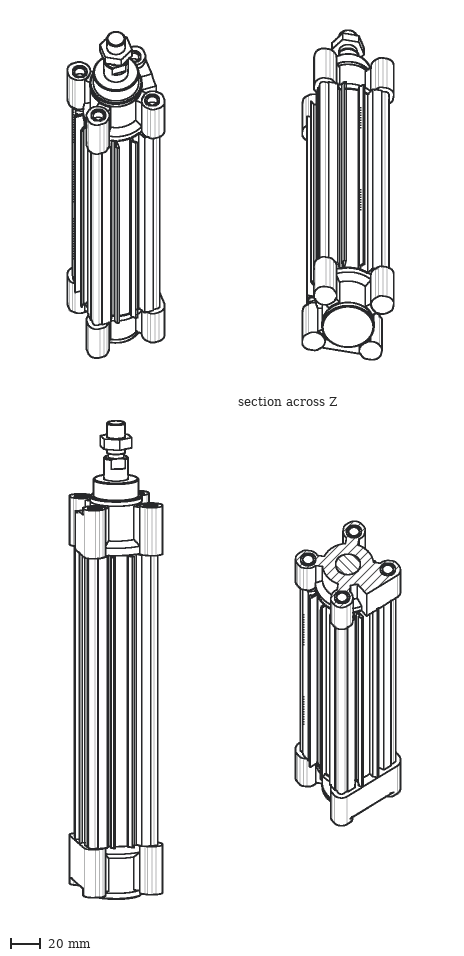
import cadquery as cq
import math

TOTAL_LENGTH = 323.0
CAP_WIDTH = 54.0

REAR_COLLAR_HEIGHT = 4.2
CAP_LENGTH = 33.0
FRONT_CAP_TOP = 269.5
FRONT_COLLAR_HEIGHT = 3.5
BOSS_HEIGHT = 11.5

COLLAR_DIAMETER = 35.0
COLLAR_CHAMFER = 0.5
NECK_DIAMETER = 34.5
BOSS_DIAMETER = 30.5
BOSS_CHAMFER = 0.5
FLANGE_RADIUS = 22.0
FLANGE_HEIGHT = 5.2
CONE_HEIGHT = 4.0
SCREW_OFFSET = 19.0
POST_HALF_WIDTH = 7.5
POST_INNER_REACH = 6.8
POST_SHOULDER_RADIUS = 4.0
CORNER_RADIUS = 6.0
WEB_WIDTH = 8.7
WEB_DROP = 1.3

WALL_HEIGHT = 28.5
WALL_INNER_FACE = 13.0
FRONT_WALL_END = 4.5
TROUGH_START = -4.5
TROUGH_AXIS = 1.5
TROUGH_RADIUS = 9.0

TUBE_RADIUS = 21.3
LOBE_OUTER = 24.2
LOBE_INNER = 12.0
LOBE_STEP_START = 18.0
LOBE_STEP_END = 20.5
LOBE_STEP_DEPTH = 0.5
LOBE_CORNER_MIDDLE = 23.0
LIP_ROOT = 20.0
LIP_BEND = 24.2
LIP_TIP = 26.5
LIP_THICKNESS = 1.3
BARBED_LIP_X = -6.8
BARB_REACH = 1.3
SLANTED_LIP_X = 2.5
LIP_SLANT = 2.3

SCREW_RADIUS = 5.0
SCREW_LENGTH = 19.5
SCREW_RECESS = 1.0
SOCKET_RADIUS = 3.5
SOCKET_DEPTH = 6.5

ROD_DIAMETER = 16.0
ROD_CHAMFER = 0.5
THREAD_DIAMETER = 12.3
THREAD_CHAMFER = 0.5
THREAD_LENGTH = 20.7
UNDERCUT_DIAMETER = 10.5
UNDERCUT_LENGTH = 3.0
ROD_TOP = TOTAL_LENGTH - THREAD_LENGTH - UNDERCUT_LENGTH
FLATS_WIDTH = 13.0
FLATS_HEIGHT = 6.8
NUT_ACROSS_FLATS = 19.0
NUT_HEIGHT = 7.0
NUT_TOP = 313.3

HALF_WIDTH = CAP_WIDTH / 2
FRONT_CAP_BOTTOM = FRONT_CAP_TOP - CAP_LENGTH
REAR_CAP_TOP = REAR_COLLAR_HEIGHT + CAP_LENGTH
QUARTER_TURNS = (0, 90, 180, 270)
SCREW_PLACES = [(sx * SCREW_OFFSET, sy * SCREW_OFFSET) for sx in (-1, 1) for sy in (-1, 1)]


def cylinder(radius, bottom, height):
    return cq.Workplane("XY").workplane(offset=bottom).circle(radius).extrude(height)


def quarter_turn_copies(body):
    """Union of a body with its copies turned about the cylinder axis."""
    copies = body
    for angle in QUARTER_TURNS[1:]:
        copies = copies.union(body.rotate((0, 0, 0), (0, 0, 1), angle))
    return copies


def cap_core():
    """Neck that widens through a cone to the flange on the barrel."""
    neck_radius = NECK_DIAMETER / 2
    outline = [
        (0, 0),
        (FLANGE_RADIUS, 0),
        (FLANGE_RADIUS, FLANGE_HEIGHT),
        (neck_radius, FLANGE_HEIGHT + CONE_HEIGHT),
        (neck_radius, CAP_LENGTH),
        (0, CAP_LENGTH),
    ]
    return cq.Workplane("XZ").polyline(outline).close().revolve(360, (0, 0), (0, 1))


def diagonal_bar(start, end, width, height, inner_radius=0):
    """Bar along the +X+Y diagonal, with its two inner upright edges rounded if a radius is given."""
    bar = cq.Workplane("XY").box(end - start, width, height, centered=(False, True, False))
    if inner_radius:
        bar = bar.edges("|Z and <X").fillet(inner_radius)
    return bar.translate((start, 0, 0)).rotate((0, 0, 0), (0, 0, 1), 45)


def round_edge(body, x, y, radius):
    """Fillet of the upright edge of a cap body that stands at (x, y)."""
    nearest = cq.selectors.NearestToPointSelector((x, y, CAP_LENGTH / 2))
    return body.edges("|Z").edges(nearest).fillet(radius)


def cap_corner():
    """Screw post with its rounded outer corner and the web that joins it to the neck."""
    screw_distance = SCREW_OFFSET * math.sqrt(2)
    web = diagonal_bar(0, screw_distance, WEB_WIDTH, CAP_LENGTH - WEB_DROP)
    post_start = screw_distance - POST_INNER_REACH
    post_end = HALF_WIDTH * math.sqrt(2)
    bar = diagonal_bar(post_start, post_end, 2 * POST_HALF_WIDTH, CAP_LENGTH, POST_INNER_REACH)
    square = cq.Workplane("XY").box(HALF_WIDTH, HALF_WIDTH, CAP_LENGTH, centered=False)
    post = round_edge(square, HALF_WIDTH, HALF_WIDTH, CORNER_RADIUS).intersect(bar)
    shoulder = HALF_WIDTH - POST_HALF_WIDTH * math.sqrt(2)
    post = round_edge(post, HALF_WIDTH, shoulder, POST_SHOULDER_RADIUS)
    post = round_edge(post, shoulder, HALF_WIDTH, POST_SHOULDER_RADIUS)
    return post.union(web)


def port_wall(end_x):
    """Wall flush with the +Y side, from the -X screw to end_x."""
    length = end_x + SCREW_OFFSET
    depth = HALF_WIDTH - WALL_INNER_FACE
    wall = cq.Workplane("XY").box(length, depth, WALL_HEIGHT, centered=False)
    return wall.translate((-SCREW_OFFSET, WALL_INNER_FACE, 0))


def front_port_wall():
    """Short wall whose free end is hollowed by a cylinder along Y."""
    axis_height = WALL_HEIGHT + math.sqrt(TROUGH_RADIUS**2 - (TROUGH_AXIS - TROUGH_START) ** 2)
    trough = (
        cq.Workplane("XZ")
        .center(TROUGH_AXIS, axis_height)
        .circle(TROUGH_RADIUS)
        .extrude(-HALF_WIDTH)
    )
    return port_wall(FRONT_WALL_END).cut(trough)


def end_cap(wall, collar_height):
    collar = cylinder(COLLAR_DIAMETER / 2, CAP_LENGTH, collar_height)
    collar = collar.faces(">Z").edges().chamfer(COLLAR_CHAMFER)
    return cap_core().union(quarter_turn_copies(cap_corner())).union(wall).union(collar)


def make_front_cap():
    cap = end_cap(front_port_wall(), FRONT_COLLAR_HEIGHT)
    boss = cylinder(BOSS_DIAMETER / 2, CAP_LENGTH, FRONT_COLLAR_HEIGHT + BOSS_HEIGHT)
    boss = boss.faces(">Z").edges().chamfer(BOSS_CHAMFER)
    rod_bore = cylinder(ROD_DIAMETER / 2, 0, CAP_LENGTH + FRONT_COLLAR_HEIGHT + BOSS_HEIGHT)
    screw_holes = (
        cq.Workplane("XY")
        .workplane(offset=CAP_LENGTH)
        .pushPoints(SCREW_PLACES)
        .circle(SCREW_RADIUS)
        .extrude(-SCREW_RECESS - SCREW_LENGTH)
    )
    return cap.union(boss).cut(rod_bore).cut(screw_holes).translate((0, 0, FRONT_CAP_BOTTOM))


def make_rear_cap():
    cap = end_cap(port_wall(SCREW_OFFSET), REAR_COLLAR_HEIGHT)
    return cap.mirror("XY").translate((0, 0, REAR_CAP_TOP))


def barrel_lobe(length):
    """Corner lobe of the profile, symmetric about the diagonal."""
    step = LOBE_OUTER - LOBE_STEP_DEPTH
    return (
        cq.Workplane("XY")
        .moveTo(0, 0)
        .lineTo(LOBE_OUTER, LOBE_INNER)
        .lineTo(LOBE_OUTER, LOBE_STEP_START)
        .lineTo(step, LOBE_STEP_START)
        .lineTo(step, LOBE_STEP_END)
        .threePointArc((LOBE_CORNER_MIDDLE, LOBE_CORNER_MIDDLE), (LOBE_STEP_END, step))
        .lineTo(LOBE_STEP_START, step)
        .lineTo(LOBE_STEP_START, LOBE_OUTER)
        .lineTo(LOBE_INNER, LOBE_OUTER)
        .close()
        .extrude(length)
    )


def barrel_lips(length):
    """Barbed lip and slanted lip of one side's sensor slots, on the -Y side."""
    barbed_outer = BARBED_LIP_X - LIP_THICKNESS
    barbed = [
        (barbed_outer, -LIP_ROOT),
        (barbed_outer, -LIP_BEND),
        (barbed_outer - BARB_REACH, -LIP_BEND),
        (barbed_outer, -LIP_TIP),
        (BARBED_LIP_X, -LIP_TIP),
        (BARBED_LIP_X, -LIP_ROOT),
    ]
    slanted_outer = SLANTED_LIP_X + LIP_THICKNESS
    slanted = [
        (SLANTED_LIP_X, -LIP_ROOT),
        (SLANTED_LIP_X, -LIP_BEND),
        (SLANTED_LIP_X + LIP_SLANT, -LIP_TIP),
        (slanted_outer + LIP_SLANT, -LIP_TIP),
        (slanted_outer, -LIP_BEND),
        (slanted_outer, -LIP_ROOT),
    ]
    lips = cq.Workplane("XY").polyline(barbed).close().extrude(length)
    return lips.union(cq.Workplane("XY").polyline(slanted).close().extrude(length))


def make_barrel():
    length = FRONT_CAP_BOTTOM - REAR_CAP_TOP
    tube = cylinder(TUBE_RADIUS, 0, length)
    lobes = quarter_turn_copies(barrel_lobe(length))
    lips = quarter_turn_copies(barrel_lips(length))
    return tube.union(lobes).union(lips).translate((0, 0, REAR_CAP_TOP))


def make_screw(place):
    screw_top = FRONT_CAP_TOP - SCREW_RECESS
    screw = cylinder(SCREW_RADIUS, screw_top - SCREW_LENGTH, SCREW_LENGTH)
    socket = cylinder(SOCKET_RADIUS, screw_top - SOCKET_DEPTH, SOCKET_DEPTH)
    return screw.cut(socket).translate((*place, 0))


def make_piston_rod():
    rod = cylinder(ROD_DIAMETER / 2, FRONT_CAP_BOTTOM, ROD_TOP - FRONT_CAP_BOTTOM)
    rod = rod.faces(">Z").edges().chamfer(ROD_CHAMFER)
    flats = cq.Workplane("XY").box(ROD_DIAMETER, ROD_DIAMETER, FLATS_HEIGHT)
    flats = flats.cut(cq.Workplane("XY").box(FLATS_WIDTH, ROD_DIAMETER, FLATS_HEIGHT))
    flats = flats.translate((0, 0, ROD_TOP - FLATS_HEIGHT / 2))
    undercut = cylinder(UNDERCUT_DIAMETER / 2, ROD_TOP, UNDERCUT_LENGTH)
    thread = cylinder(THREAD_DIAMETER / 2, TOTAL_LENGTH - THREAD_LENGTH, THREAD_LENGTH)
    thread = thread.faces(">Z").edges().chamfer(THREAD_CHAMFER)
    return rod.cut(flats).union(undercut).union(thread)


def make_nut():
    across_corners = NUT_ACROSS_FLATS / math.cos(math.pi / 6)
    return (
        cq.Workplane("XY")
        .workplane(offset=NUT_TOP - NUT_HEIGHT)
        .polygon(6, across_corners)
        .circle(THREAD_DIAMETER / 2)
        .extrude(NUT_HEIGHT)
    )


front_cap = make_front_cap()
rear_cap = make_rear_cap()
barrel = make_barrel()
piston_rod = make_piston_rod()
nut = make_nut()
screws = [make_screw(place) for place in SCREW_PLACES]

result = cq.Compound.makeCompound(
    [
        front_cap.val(),
        rear_cap.val(),
        barrel.val(),
        piston_rod.val(),
        nut.val(),
        *[screw.val() for screw in screws],
    ]
)